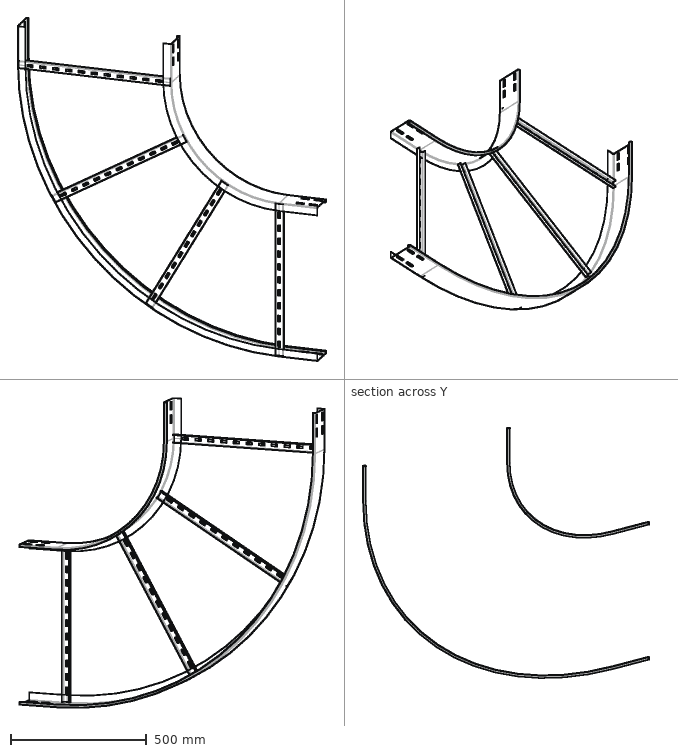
import cadquery as cq
import math

overall_size = 1170.0
rail_depth = 100.0
straight_length = 150.0
rail_spacing = 600.0

sheet = 1.5
rail_bend = 3.7
rung_bend = 2.7

outer_flange_width = 30.0
inner_flange_width = 32.0
back_flange_width = 10.0
lip_depth = 10.0

rail_slot_length = 29.0
rail_slot_width = 8.0
rail_slot_row_spacing = 55.0
rail_slot_row_offset = 2.0
rail_slot_first = 25.0
rail_slot_pitch = 50.0
rail_slot_columns = 2

rung_angles = [0, 30, 60, 90]
rung_width = 30.0
rung_depth = 15.0
rung_end_gap = 5.0
rung_slot_count = 11
rung_slot_pitch = 50.0
rung_slot_length = 22.0
rung_slot_width = 7.0

rail_end = overall_size / 2
bend_centre = rail_end - straight_length
outer_web_radius = overall_size - straight_length
inner_web_radius = outer_web_radius - rail_spacing
front_y = -rail_depth / 2
back_y = rail_depth / 2


def toward(start, end, distance):
    """Point at a distance from start on the way to end."""
    share = distance / math.dist(start, end)
    return (start[0] + share * (end[0] - start[0]), start[1] + share * (end[1] - start[1]))


def rounded_outline(plane, corners):
    """Closed outline with square corners (x, y, radius); a zero radius leaves the corner sharp."""
    outline = plane.moveTo(*corners[0][:2])
    for index in range(1, len(corners)):
        *corner, radius = corners[index]
        before = corners[index - 1][:2]
        after = corners[(index + 1) % len(corners)][:2]
        if radius == 0:
            outline = outline.lineTo(*corner)
            continue
        arc_start = toward(corner, before, radius)
        arc_end = toward(corner, after, radius)
        chord_middle = ((arc_start[0] + arc_end[0]) / 2, (arc_start[1] + arc_end[1]) / 2)
        arc_middle = toward(corner, chord_middle, radius * (math.sqrt(2) - 1))
        outline = outline.lineTo(*arc_start).threePointArc(arc_middle, arc_end)
    return outline.close()


def rail_section(web_radius, flange_width, side):
    """Folded rail section at its top end, the flanges pointing to side (+1 or -1) along X."""
    outside = rail_bend
    inside = rail_bend - sheet
    lip_y = back_y - lip_depth
    corners = [
        (flange_width, front_y, 0),
        (0, front_y, outside),
        (0, back_y, outside),
        (back_flange_width, back_y, outside),
        (back_flange_width, lip_y, 0),
        (back_flange_width - sheet, lip_y, 0),
        (back_flange_width - sheet, back_y - sheet, inside),
        (sheet, back_y - sheet, inside),
        (sheet, front_y + sheet, inside),
        (flange_width, front_y + sheet, 0),
    ]
    web_x = bend_centre - web_radius
    placed = [(web_x + side * distance, y, radius) for distance, y, radius in corners]
    return rounded_outline(cq.Workplane("XY", origin=(0, 0, rail_end)), placed)


def rail_path(radius):
    """Straight down, a quarter bend, then straight along +X."""
    diagonal = radius * math.sqrt(0.5)
    return (
        cq.Workplane("XZ", origin=(bend_centre, 0, bend_centre))
        .moveTo(-radius, straight_length)
        .lineTo(-radius, 0)
        .threePointArc((-diagonal, -diagonal), (0, -radius))
        .lineTo(straight_length, -radius)
    )


def cut_end_slots(rail, web_radius):
    """Cut the slots through the web at both straight ends of a rail."""
    web_place = bend_centre - web_radius
    cut_depth = 4 * sheet
    upright_slot = cq.Workplane("XY").box(cut_depth, rail_slot_width, rail_slot_length)
    level_slot = cq.Workplane("XY").box(rail_slot_length, rail_slot_width, cut_depth)
    for column in range(rail_slot_columns):
        along = rail_end - rail_slot_first - column * rail_slot_pitch
        for row_side in (-1, 1):
            y = rail_slot_row_offset + row_side * rail_slot_row_spacing / 2
            rail = rail.cut(upright_slot.translate((web_place, y, along)), clean=False)
            rail = rail.cut(level_slot.translate((along, y, web_place)), clean=False)
    return rail


def make_rail(web_radius, flange_width, side):
    rail = rail_section(web_radius, flange_width, side).sweep(rail_path(web_radius), clean=False)
    return cut_end_slots(rail, web_radius)


def make_rung(angle):
    """Folded channel along a radius of the bend, open towards +Y and slotted along its front."""
    inner_end = inner_web_radius + rung_end_gap
    outer_end = outer_web_radius - rung_end_gap
    length = outer_end - inner_end
    inner_tip = inner_web_radius + inner_flange_width
    outer_tip = outer_web_radius - outer_flange_width
    slots_middle = (inner_tip + outer_tip) / 2

    rung_front = front_y + sheet
    rung_back = rung_front + rung_depth
    half = rung_width / 2
    inside = rung_bend - sheet
    section = [
        (rung_back, -half, 0),
        (rung_front, -half, rung_bend),
        (rung_front, half, rung_bend),
        (rung_back, half, 0),
        (rung_back, half - sheet, 0),
        (rung_front + sheet, half - sheet, inside),
        (rung_front + sheet, sheet - half, inside),
        (rung_back, sheet - half, 0),
    ]
    channel = rounded_outline(cq.Workplane("YZ", origin=(-outer_end, 0, 0)), section).extrude(length)
    slots = (
        cq.Workplane("XZ", origin=(-slots_middle, rung_front, 0))
        .rarray(rung_slot_pitch, 12, rung_slot_count, 1)
        .rect(rung_slot_length, rung_slot_width)
        .extrude(-rung_depth)
    )
    rung = channel.cut(slots)
    return rung.rotate((0, 0, 0), (0, 1, 0), -angle).translate((bend_centre, 0, bend_centre))


outer_rail = make_rail(outer_web_radius, outer_flange_width, 1)
inner_rail = make_rail(inner_web_radius, inner_flange_width, -1)
rungs = [make_rung(angle) for angle in rung_angles]

result = cq.Compound.makeCompound([outer_rail.val(), inner_rail.val(), *[rung.val() for rung in rungs]])